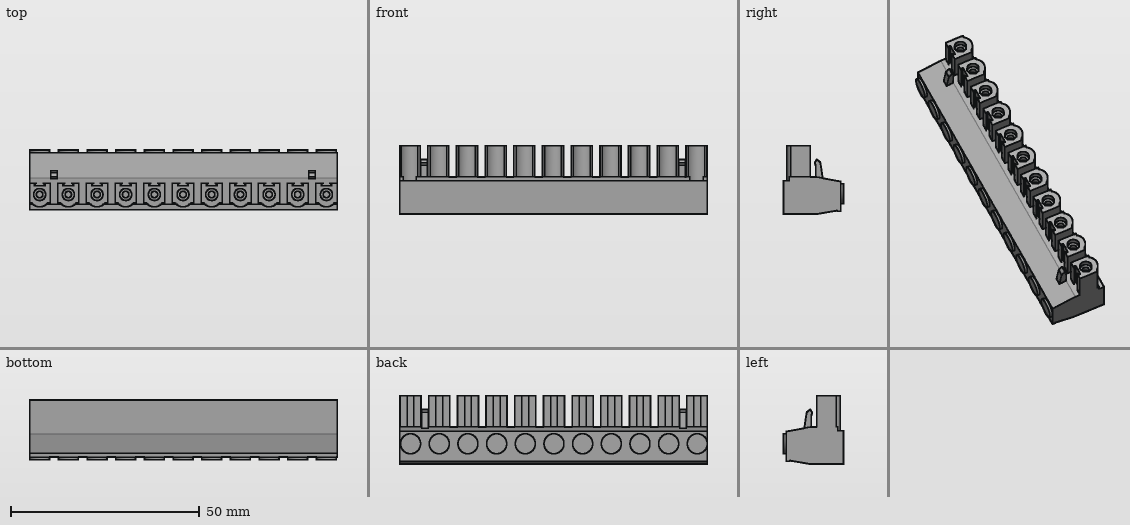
import cadquery as cq

length = 81.8
total_height = 18.2
total_depth = 15.95

body_depth = 15.2
ledge_depth = 1.5
ledge_height = 8.9
shelf_height = 9.9
ridge_y = 8.5
back_top = 8.7
back_bottom = 0.7
flat_bottom_depth = 9.0
back_lip_y = 14.2
back_lip_root_z = 0.9

post_count = 11
post_row_span = 76.2
post_pitch = post_row_span / (post_count - 1)
first_post_x = 2.7 - length / 2
post_width = 5.65
post_back_y = 7.1
post_shoulder_y = 2.0
post_nose_y = 0.8
nose_width = 4.4

groove_mouth = 1.8
groove_floor = 2.9
groove_lip = 0.4
groove_depth = 0.7

screw_y = 4.1
bore_diameter = 3.2
bore_depth = 1.6
core_diameter = 1.7
core_depth = 1.6

collar_diameter = 5.3
collar_z = 5.4

latch_width = 1.8
latch_base_back_y = 10.55
latch_bend = (9.8, 13.75)
latch_tip = (8.8, 14.6)
hook_point = (8.3, 13.7)
hook_root_z = 12.9

post_xs = [first_post_x + i * post_pitch for i in range(post_count)]
latch_xs = [
    post_xs[0] + post_pitch / 2,
    post_xs[-1] - post_pitch / 2,
]


def extrude_along_x(sketch, centre_x, width):
    """Extrude a YZ outline by width, centred on centre_x."""
    return sketch.extrude(width / 2, both=True).translate((centre_x, 0, 0))


def housing():
    outline = cq.Workplane("YZ").polyline([
        (0, 0),
        (flat_bottom_depth, 0),
        (back_lip_y, back_lip_root_z),
        (back_lip_y, back_bottom),
        (body_depth, back_bottom),
        (body_depth, back_top),
        (ridge_y, shelf_height),
        (ledge_depth, shelf_height),
        (ledge_depth, ledge_height),
        (0, ledge_height),
    ]).close()
    return extrude_along_x(outline, 0, length)


def nose_outline(plane, x):
    """Rounded front of a post, closed along the shoulder line."""
    return (
        plane.moveTo(x - nose_width / 2, post_shoulder_y)
        .threePointArc((x, post_nose_y), (x + nose_width / 2, post_shoulder_y))
        .close()
    )


def post(x, nose_bottom):
    block_depth = post_back_y - post_shoulder_y
    block = (
        cq.Workplane("XY", origin=(x, post_shoulder_y + block_depth / 2, shelf_height))
        .rect(post_width, block_depth)
        .extrude(total_height - shelf_height)
    )
    nose_plane = cq.Workplane("XY").workplane(offset=nose_bottom)
    nose = nose_outline(nose_plane, x).extrude(total_height - nose_bottom)
    return block.union(nose)


def post_groove(x):
    mouth_y = post_back_y - groove_lip
    floor_y = post_back_y - groove_depth
    return (
        cq.Workplane("XY", origin=(x, 0, shelf_height))
        .polyline([
            (-groove_mouth / 2, post_back_y),
            (-groove_floor / 2, mouth_y),
            (-groove_floor / 2, floor_y),
            (groove_floor / 2, floor_y),
            (groove_floor / 2, mouth_y),
            (groove_mouth / 2, post_back_y),
        ])
        .close()
        .extrude(total_height - shelf_height)
    )


def screw_bore(x):
    top = cq.Workplane("XY", origin=(x, screw_y, total_height))
    bore = top.circle(bore_diameter / 2).extrude(-bore_depth)
    core = top.circle(core_diameter / 2).extrude(-bore_depth - core_depth)
    return bore.union(core)


def collar(x):
    return (
        cq.Workplane("XZ", origin=(x, total_depth, collar_z))
        .circle(collar_diameter / 2)
        .extrude(total_depth - flat_bottom_depth)
    )


def latch(x):
    outline = cq.Workplane("YZ").polyline([
        (ridge_y, ledge_height),
        (latch_base_back_y, ledge_height),
        latch_bend,
        latch_tip,
        hook_point,
        (ridge_y, hook_root_z),
    ]).close()
    return extrude_along_x(outline, x, latch_width)


result = housing()
for x in post_xs:
    is_end_post = x in (post_xs[0], post_xs[-1])
    nose_bottom = ledge_height if is_end_post else shelf_height
    result = result.union(post(x, nose_bottom)).union(collar(x))
for x in latch_xs:
    result = result.union(latch(x))
for x in post_xs:
    result = result.cut(post_groove(x)).cut(screw_bore(x))

envelope = cq.Workplane("XY").box(length, 2 * total_depth, total_height, centered=(True, True, False))
result = result.intersect(envelope)